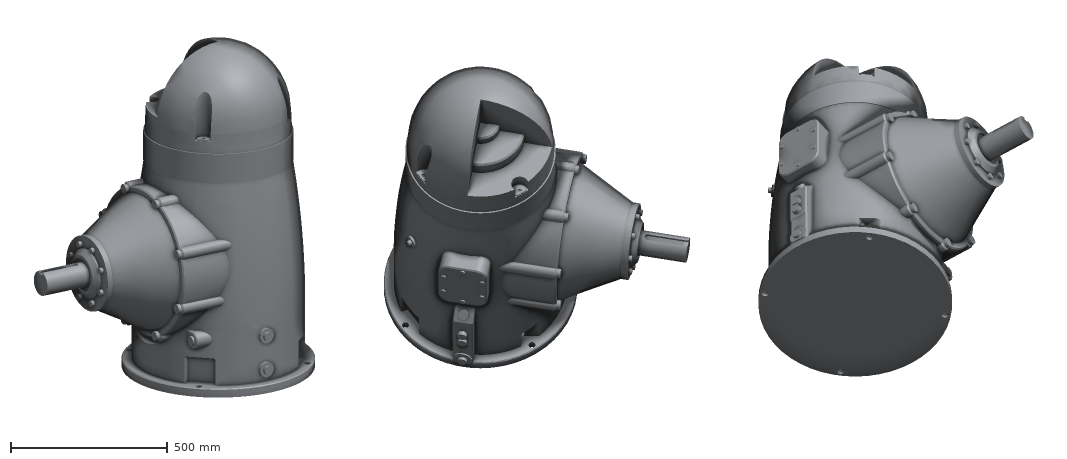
import cadquery as cq
import math

TOTAL_HEIGHT = 1099
FLANGE_RADIUS = 310.0
FLANGE_THICKNESS = 30.0
BASE_RADIUS = 278.0
BASE_TOP = 215.0
WAIST_RADIUS = 268.0
WAIST_HEIGHT = 459.0
FLANK_TOP_RADIUS = 238.0
BAND_RADIUS = 241.0
BAND_BOTTOM = 702.0
BAND_TOP = 801.0
DOME_RADIUS = 233.0
DOME_BOTTOM = TOTAL_HEIGHT - DOME_RADIUS
COLLAR_RADIUS = 236.0

WINDOW_FLOOR = 885.0
DISC_RADIUS = 142.0
DISC_TOP = 933.0
HUB_RADIUS = 62.0
HUB_TOP = 965.0
HUB_DIMPLE_RADIUS = 25.0
HUB_DIMPLE_DEPTH = 3.0
STEP_CHAMFER = 5.0

POCKET_CENTRE_RADIUS = 222.0
POCKET_RADIUS = 27.0
POCKET_FLOOR = 840.0
POCKET_SCREW_RADIUS = 21.0
POCKET_SCREW_HEIGHT = 5.0
POCKET_SOCKET_RADIUS = 7.0

AXIS_HEIGHT = 406
NECK_RADIUS = 246.0
NECK_FACE = 290.0
NECK_EDGE_CHAMFER = 4.0
CONE_BASE_RADIUS = 224.0
CONE_TIP_RADIUS = 122.0
CONE_END = 480.0
PLATE_RADIUS = 124.0
PLATE_END = 499.0
SEAL_RADIUS = 82.0
SEAL_FACE_RADIUS = 65.0
SEAL_SHOULDER = 504.0
SEAL_END = 520.0
SEAL_RECESS_RADIUS = 55
SEAL_RECESS_DEPTH = 5.0
SHAFT_RADIUS = 41.0
SHAFT_END = 675.0
KEYWAY_WIDTH = 21.0
KEYWAY_DEPTH = 10.0
KEYWAY_START = 534.0

BOLT_COUNT = 8
NECK_BOLT_CIRCLE = 241.0
NECK_BOLT_RADIUS = 15.0
NECK_BOLT_HEIGHT = 12.0
RIB_RADIUS = 21.0
RIB_START = 88
PLATE_BOLT_CIRCLE = 97.0
PLATE_BOLT_RADIUS = 10.0
PLATE_BOLT_HEIGHT = 11

RELIEF_RADIUS = 267.0
RELIEF_START = 269.0
RELIEF_DRAFT = 40

FOOT_HOLE_RADIUS = 11
FOOT_HOLE_CIRCLE = 291.0
FLANGE_CHAMFER = 3.0

RECESS_FLAT_RADIUS = 253
RECESS_WIDTH = 88
RECESS_HEIGHT = 114.0
RECESS_DRAFT = 18
CORNER_RECESS_DEPTH = 172.0
CORNER_RECESS_SIDE = 178.0
CORNER_RECESS_HEIGHT = 103.0
CORNER_RECESS_DRAFT = 11
CORNER_PLUG_X = 198
CORNER_PLUG_Z = 71.0
PLUG_RADIUS = 15.0
PLUG_HEIGHT = 7.0

COVER_FACE = 312.0
COVER_WIDTH = 158.0
COVER_BOTTOM = 370.0
COVER_TOP = 573.0
COVER_CORNER = 37.0
COVER_CHAMFER = 4.0
COVER_SCREW_RADIUS = 8.2
COVER_SCREW_HEIGHT = 4.0
COVER_SCREW_INSET = 16.0

BAR_WIDTH = 66
BAR_UPPER_FACE = 314.0
BAR_LOWER_FACE = 310.0
BAR_STEP_HEIGHT = 135.0
BAR_BEVEL_START = 265.0
BAR_TOP = 304.0
BAR_EDGE_CHAMFER = 4.0
BAR_PLUG_HEIGHTS = (165, 202.0)
BAR_PLUG_END = 328.0
DRAIN_HEIGHT = 49.0
DRAIN_END = 324.0
DRAIN_BOSS_RADIUS = 31.0
SIGHT_RADIUS = 16.0
SIGHT_LENGTH = 13.0

SIDE_PLUG_HEIGHTS = (71.0, 186.0)
SIDE_PLUG_BASE_RADIUS = 25.0
SIDE_PLUG_BASE_END = 290.0
SIDE_PLUG_END = 301.0
FRONT_PAD_X = 194.0
FRONT_PAD_Z = 185.0
FRONT_PAD_RADIUS = 29.0
FRONT_PAD_FACE = 224.0
FRONT_PAD_CHAMFER = 3.0
REAR_PLUG_HEIGHT = 498.0
REAR_PLUG_RADIUS = 20.0
REAR_PLUG_BASE_END = 270.0
REAR_PLUG_CAP_RADIUS = 9.0
REAR_PLUG_END = 281.0

INSIDE = 220


def rod(radius, start, end, direction, height, offset=0):
    """Horizontal rod running outward from the Z axis, from start to end.

    direction is the angle from +X in degrees; offset shifts the rod sideways."""
    return (
        cq.Workplane("YZ")
        .center(offset, height)
        .circle(radius)
        .extrude(end - start)
        .translate((start, 0, 0))
        .rotate((0, 0, 0), (0, 0, 1), direction)
    )


def input_ring(count, circle_radius, radius, start, end):
    """Equal rods parallel to the input axis, spread evenly around it."""
    return (
        cq.Workplane("XZ", origin=(0, -start, AXIS_HEIGHT))
        .polarArray(circle_radius, 180 / count, 360, count)
        .circle(radius)
        .extrude(end - start)
    )


def input_rod(radius, start, end):
    """Rod centred on the input axis."""
    return cq.Workplane("XZ", origin=(0, -start, AXIS_HEIGHT)).circle(radius).extrude(end - start)


def make_housing():
    profile = (
        cq.Workplane("XZ")
        .lineTo(BASE_RADIUS, 0)
        .lineTo(BASE_RADIUS, BASE_TOP)
        .threePointArc((WAIST_RADIUS, WAIST_HEIGHT), (FLANK_TOP_RADIUS, BAND_BOTTOM))
        .lineTo(BAND_RADIUS, BAND_BOTTOM)
        .lineTo(BAND_RADIUS, BAND_TOP)
        .lineTo(COLLAR_RADIUS, BAND_TOP)
        .lineTo(DOME_RADIUS, DOME_BOTTOM)
        .threePointArc(
            (DOME_RADIUS * math.sqrt(0.5), DOME_BOTTOM + DOME_RADIUS * math.sqrt(0.5)),
            (0, TOTAL_HEIGHT),
        )
        .close()
    )
    return profile.revolve(360, (0, 0, 0), (0, 1, 0))


def open_dome(body):
    """Remove the -X -Y quarter of the dome, leaving a stepped hub on its floor."""
    window = cq.Workplane("XY", origin=(0, 0, WINDOW_FLOOR)).rect(
        -FLANGE_RADIUS, -FLANGE_RADIUS, centered=False
    ).extrude(TOTAL_HEIGHT - WINDOW_FLOOR)
    disc = cq.Workplane("XY").circle(DISC_RADIUS).extrude(DISC_TOP)
    hub = cq.Workplane("XY").circle(HUB_RADIUS).extrude(HUB_TOP)
    dimple = (
        cq.Workplane("XY", origin=(0, 0, HUB_TOP - HUB_DIMPLE_DEPTH))
        .circle(HUB_DIMPLE_RADIUS)
        .extrude(HUB_DIMPLE_DEPTH)
    )
    steps = disc.faces(">Z").chamfer(STEP_CHAMFER).union(hub.faces(">Z").chamfer(STEP_CHAMFER))
    return body.cut(window.cut(steps.cut(dimple)))


def add_dome_screws(body):
    floor = cq.Workplane("XY", origin=(0, 0, POCKET_FLOOR)).polarArray(POCKET_CENTRE_RADIUS, 45, 360, 4)
    pockets = floor.circle(POCKET_RADIUS).extrude(TOTAL_HEIGHT - POCKET_FLOOR)
    screws = floor.circle(POCKET_SCREW_RADIUS).circle(POCKET_SOCKET_RADIUS).extrude(POCKET_SCREW_HEIGHT)
    collar = cq.Workplane("XY").circle(DOME_RADIUS).extrude(TOTAL_HEIGHT)
    return body.cut(pockets).union(screws.intersect(collar))


def cut_foot_recesses(body):
    """Drafted recesses that clear the foot holes, and a corner recess on the -X -Y side."""
    for angle in (-45, 45, 135):
        recess = (
            cq.Workplane("YZ", origin=(RECESS_FLAT_RADIUS, 0, RECESS_HEIGHT / 2))
            .rect(RECESS_WIDTH, RECESS_HEIGHT)
            .extrude(BASE_RADIUS - RECESS_FLAT_RADIUS, taper=-RECESS_DRAFT)
            .rotate((0, 0, 0), (0, 0, 1), angle)
        )
        body = body.cut(recess)
    corner = (
        cq.Workplane("XZ", origin=(-CORNER_RECESS_SIDE, -CORNER_RECESS_DEPTH, 0))
        .rect(-BASE_RADIUS, CORNER_RECESS_HEIGHT, centered=False)
        .extrude(BASE_RADIUS - CORNER_RECESS_DEPTH, taper=-CORNER_RECESS_DRAFT)
    )
    plug = (
        cq.Workplane("XZ", origin=(-CORNER_PLUG_X, -CORNER_RECESS_DEPTH, CORNER_PLUG_Z))
        .circle(PLUG_RADIUS)
        .extrude(PLUG_HEIGHT)
    )
    return body.cut(corner).union(plug)


def make_foot():
    return (
        cq.Workplane("XY")
        .circle(FLANGE_RADIUS)
        .extrude(FLANGE_THICKNESS)
        .faces(">Z")
        .chamfer(FLANGE_CHAMFER)
    )


def make_neck():
    """Round neck with bolt ribs along its outside."""
    ribs = input_ring(BOLT_COUNT, NECK_BOLT_CIRCLE, RIB_RADIUS, RIB_START, NECK_FACE)
    neck = input_rod(NECK_RADIUS, 0, NECK_FACE).union(ribs)
    return neck.faces("<Y").chamfer(NECK_EDGE_CHAMFER)


def make_input_cover():
    """Cone, end plate, shaft seal and keyed shaft."""
    seal_floor = SEAL_END - SEAL_RECESS_DEPTH
    cover = (
        cq.Workplane("XY")
        .polyline(
            [
                (0, 0),
                (CONE_BASE_RADIUS, 0),
                (CONE_BASE_RADIUS, NECK_FACE),
                (CONE_TIP_RADIUS, CONE_END),
                (PLATE_RADIUS, CONE_END),
                (PLATE_RADIUS, PLATE_END),
                (SEAL_RADIUS, PLATE_END),
                (SEAL_RADIUS, SEAL_SHOULDER),
                (SEAL_FACE_RADIUS, SEAL_END),
                (SEAL_RECESS_RADIUS, SEAL_END),
                (SEAL_RECESS_RADIUS, seal_floor),
                (SHAFT_RADIUS, seal_floor),
                (SHAFT_RADIUS, SHAFT_END),
                (0, SHAFT_END),
            ]
        )
        .close()
        .revolve(360, (0, 0, 0), (0, 1, 0))
        .rotate((0, 0, 0), (0, 0, 1), 180)
        .translate((0, 0, AXIS_HEIGHT))
    )
    keyway_floor = AXIS_HEIGHT + SHAFT_RADIUS - KEYWAY_DEPTH
    round_end = KEYWAY_START + KEYWAY_WIDTH / 2
    plane = cq.Workplane("XY", origin=(0, 0, keyway_floor))
    keyway = (
        plane.rect(KEYWAY_WIDTH, SHAFT_END - round_end)
        .extrude(KEYWAY_DEPTH)
        .translate((0, -(round_end + SHAFT_END) / 2, 0))
        .union(plane.center(0, -round_end).circle(KEYWAY_WIDTH / 2).extrude(KEYWAY_DEPTH))
    )
    return cover.cut(keyway)


def add_input_side(body):
    """Relieve the housing around the neck, then attach neck, cover and bolts."""
    neck_bolts = input_ring(
        BOLT_COUNT, NECK_BOLT_CIRCLE, NECK_BOLT_RADIUS, INSIDE, NECK_FACE + NECK_BOLT_HEIGHT
    )
    plate_bolts = input_ring(
        BOLT_COUNT, PLATE_BOLT_CIRCLE, PLATE_BOLT_RADIUS, CONE_END, PLATE_END + PLATE_BOLT_HEIGHT
    )
    relief = (
        cq.Workplane("XZ", origin=(0, -RELIEF_START, AXIS_HEIGHT))
        .circle(RELIEF_RADIUS)
        .extrude(NECK_FACE - RELIEF_START, taper=-RELIEF_DRAFT)
    )
    body = body.cut(relief)
    return body.union(make_neck()).union(make_input_cover()).union(neck_bolts).union(plate_bolts)


def make_cover_box():
    middle = (COVER_BOTTOM + COVER_TOP) / 2
    height = COVER_TOP - COVER_BOTTOM
    box = (
        cq.Workplane("XY")
        .box(COVER_FACE - INSIDE, COVER_WIDTH, height)
        .edges("|X")
        .fillet(COVER_CORNER)
        .faces("<X")
        .chamfer(COVER_CHAMFER)
        .translate((-(COVER_FACE + INSIDE) / 2, 0, middle))
    )
    side = COVER_WIDTH / 2 - COVER_SCREW_INSET
    end = height / 2 - COVER_SCREW_INSET
    quarter = COVER_WIDTH / 2 - COVER_CORNER
    screw_places = [(0, end), (0, -end)]
    screw_places += [(y, z) for y in (-side, side) for z in (-quarter, quarter)]
    for y, z in screw_places:
        box = box.union(
            rod(COVER_SCREW_RADIUS, INSIDE, COVER_FACE + COVER_SCREW_HEIGHT, 180, middle + z, y)
        )
    return box


def make_connection_bar():
    """Stepped bar with a bevelled top, two plugs, a drain and a sight plug on the bevel."""
    bevel_run = BAR_TOP - BAR_BEVEL_START
    bar_bottom = FLANGE_THICKNESS - FLANGE_CHAMFER
    bar = (
        cq.Workplane("XZ")
        .polyline(
            [
                (-INSIDE, bar_bottom),
                (-BAR_LOWER_FACE, bar_bottom),
                (-BAR_LOWER_FACE, BAR_STEP_HEIGHT),
                (-BAR_UPPER_FACE, BAR_STEP_HEIGHT + BAR_UPPER_FACE - BAR_LOWER_FACE),
                (-BAR_UPPER_FACE, BAR_BEVEL_START),
                (-BAR_UPPER_FACE + bevel_run, BAR_TOP),
                (-INSIDE, BAR_TOP),
            ]
        )
        .close()
        .extrude(BAR_WIDTH / 2, both=True)
    )
    bar = bar.faces("<Y or >Y").edges("not (<Z or >Z or >X)").chamfer(BAR_EDGE_CHAMFER)
    for height in BAR_PLUG_HEIGHTS:
        bar = bar.union(rod(PLUG_RADIUS, INSIDE, BAR_PLUG_END, 180, height))
    below_bar = cq.Workplane("XY").rect(2 * BAR_UPPER_FACE, BAR_WIDTH).extrude(bar_bottom)
    drain_boss = rod(DRAIN_BOSS_RADIUS, INSIDE, BAR_UPPER_FACE, 180, DRAIN_HEIGHT)
    bar = bar.union(drain_boss.cut(below_bar))
    bar = bar.union(rod(PLUG_RADIUS, INSIDE, DRAIN_END, 180, DRAIN_HEIGHT))
    sight_seat = cq.Plane(
        origin=(-BAR_UPPER_FACE + bevel_run / 2, 0, (BAR_BEVEL_START + BAR_TOP) / 2),
        xDir=(0, 1, 0),
        normal=(-1, 0, 1),
    )
    return bar.union(cq.Workplane(sight_seat).circle(SIGHT_RADIUS).extrude(SIGHT_LENGTH))


def make_loose_plugs():
    """Two plugs at +X, a pad with a plug at -Y and a small plug at the rear left."""
    plugs = rod(REAR_PLUG_RADIUS, INSIDE, REAR_PLUG_BASE_END, 135, REAR_PLUG_HEIGHT)
    plugs = plugs.union(rod(REAR_PLUG_CAP_RADIUS, INSIDE, REAR_PLUG_END, 135, REAR_PLUG_HEIGHT))
    for height in SIDE_PLUG_HEIGHTS:
        plugs = plugs.union(rod(SIDE_PLUG_BASE_RADIUS, INSIDE, SIDE_PLUG_BASE_END, 0, height))
        plugs = plugs.union(rod(PLUG_RADIUS, INSIDE, SIDE_PLUG_END, 0, height))
    pad = rod(FRONT_PAD_RADIUS, 0, FRONT_PAD_FACE, -90, FRONT_PAD_Z, FRONT_PAD_X)
    pad_block = cq.Workplane("XZ", origin=(0, 0, FRONT_PAD_Z - FRONT_PAD_RADIUS)).rect(
        FRONT_PAD_X, 2 * FRONT_PAD_RADIUS, centered=False
    ).extrude(FRONT_PAD_FACE)
    pad_plug = rod(PLUG_RADIUS, 0, FRONT_PAD_FACE + PLUG_HEIGHT, -90, FRONT_PAD_Z, FRONT_PAD_X)
    pad = pad.union(pad_block).faces("<Y").chamfer(FRONT_PAD_CHAMFER)
    return plugs.union(pad).union(pad_plug)


def cut_foot_holes(body):
    holes = (
        cq.Workplane("XY")
        .polarArray(FOOT_HOLE_CIRCLE, 45, 360, 4)
        .circle(FOOT_HOLE_RADIUS)
        .extrude(FLANGE_THICKNESS)
    )
    return body.cut(holes)


result = make_housing()
result = open_dome(result)
result = add_dome_screws(result)
result = cut_foot_recesses(result)
result = add_input_side(result)
result = result.union(make_foot())
result = result.union(make_cover_box())
result = result.union(make_connection_bar())
result = result.union(make_loose_plugs())
result = cut_foot_holes(result)